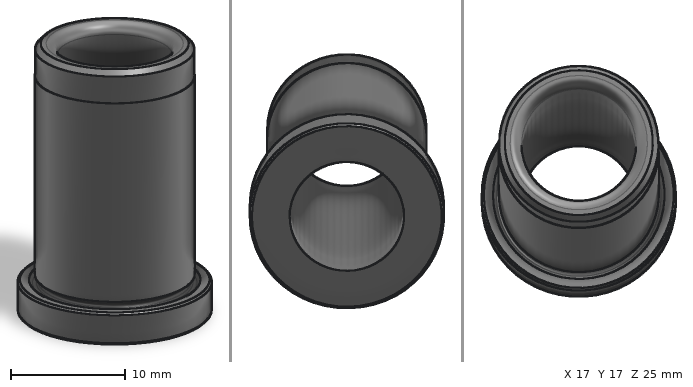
import cadquery as cq
import math

total_height = 25.0
head_radius = 8.5
head_height = 3.0
head_chamfer = 0.2
shank_radius = 7.0
bore_radius = 5.0

lead_radius = 6.98
lead_height = 3.0
lead_chamfer = 0.5
bore_mouth_radius = 1.0

undercut_reach = 0.5
undercut_wall_run = 0.3
undercut_round = 0.25


def bushing_body():
    """Revolve the stepped bushing, with a sharp shank/head corner."""
    lead_base = total_height - lead_height
    profile = (
        cq.Workplane("XZ")
        .moveTo(bore_radius, 0)
        .lineTo(head_radius - head_chamfer, 0)
        .lineTo(head_radius, head_chamfer)
        .lineTo(head_radius, head_height - head_chamfer)
        .lineTo(head_radius - head_chamfer, head_height)
        .lineTo(shank_radius, head_height)
        .lineTo(shank_radius, lead_base)
        .lineTo(lead_radius, lead_base)
        .lineTo(lead_radius, total_height - lead_chamfer)
        .lineTo(lead_radius - lead_chamfer, total_height)
        .lineTo(bore_radius + bore_mouth_radius, total_height)
        .radiusArc((bore_radius, total_height - bore_mouth_radius), -bore_mouth_radius)
        .close()
    )
    return profile.revolve(360, (0, 0, 0), (0, 1, 0))


def corner_undercut():
    """Ring to remove where the shank meets the head."""
    shank_edge = (shank_radius, head_height + undercut_reach)
    head_edge = (shank_radius + undercut_reach, head_height)
    upper_end = (shank_edge[0] - undercut_wall_run, shank_edge[1] - undercut_wall_run)
    lower_end = (head_edge[0] - undercut_wall_run, head_edge[1] - undercut_wall_run)

    chord = undercut_round * math.sqrt(2)
    floor_bottom = (lower_end[0] - chord, lower_end[1])
    floor_top = (upper_end[0], upper_end[1] - chord)
    profile = (
        cq.Workplane("XZ")
        .moveTo(*shank_edge)
        .lineTo(*upper_end)
        .radiusArc(floor_top, -undercut_round)
        .lineTo(*floor_bottom)
        .radiusArc(lower_end, -undercut_round)
        .lineTo(*head_edge)
        .close()
    )
    return profile.revolve(360, (0, 0, 0), (0, 1, 0))


result = bushing_body().cut(corner_undercut())